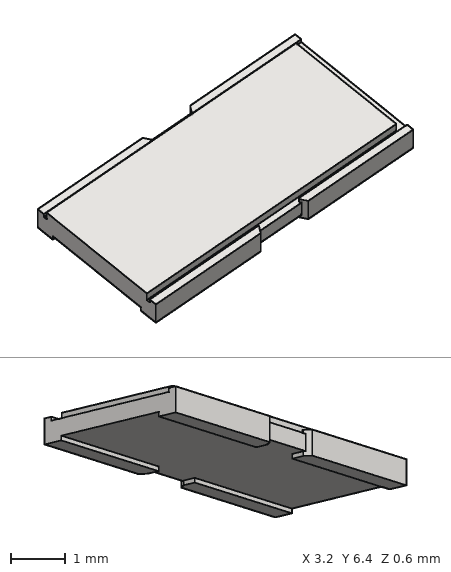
import cadquery as cq

length = 6.4
width = 3.2
height = 0.6

wall = 0.1
foot_thickness = 0.09
base_top = 0.42
base_width = width - 2 * wall
cover_side_inset = 0.24
cover_back_inset = 0.2
cover_width = width - 2 * cover_side_inset
cover_length = length - cover_back_inset

terminal_height = 0.5
lip_width = 0.165
foot_width = 0.41
terminal_gap = 1.0
bevel_length = 0.09
bevel_width = 0.14


def base():
    slab_height = base_top - foot_thickness
    slab = cq.Workplane("XY").box(base_width, length, slab_height, centered=(True, True, False))
    return slab.translate((0, 0, foot_thickness))


def cover():
    """Plate flush with the front end of the base and set back from its rear end."""
    plate_height = height - base_top
    plate = cq.Workplane("XY").box(cover_width, cover_length, plate_height, centered=(True, True, False))
    return plate.translate((0, -cover_back_inset / 2, base_top))


def terminal():
    """Terminal wrapped around the left edge of the base, in the rear half."""
    outer = -width / 2
    inner_end = terminal_gap / 2
    section = (
        cq.Workplane("XZ", origin=(0, length / 2, 0))
        .moveTo(outer, 0)
        .lineTo(outer + foot_width, 0)
        .lineTo(outer + foot_width, foot_thickness)
        .lineTo(outer + wall, foot_thickness)
        .lineTo(outer + wall, base_top)
        .lineTo(outer + lip_width, base_top)
        .lineTo(outer + lip_width, terminal_height)
        .lineTo(outer, terminal_height)
        .close()
        .extrude(length / 2 - inner_end)
    )
    corner_bevel = (
        cq.Workplane("XY")
        .moveTo(outer, inner_end)
        .lineTo(outer + bevel_width, inner_end)
        .lineTo(outer, inner_end + bevel_length)
        .close()
        .extrude(terminal_height)
    )
    return section.cut(corner_bevel)


result = base().union(cover())
rear_left = terminal()
front_left = rear_left.mirror("XZ")
for left_terminal in (rear_left, front_left):
    result = result.union(left_terminal)
    result = result.union(left_terminal.mirror("YZ"))